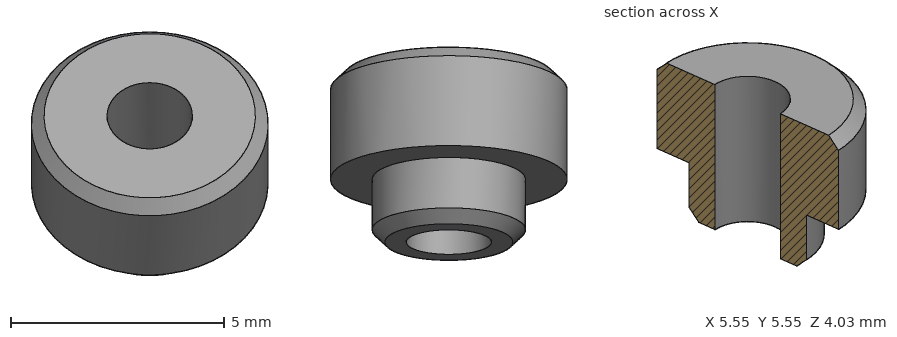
import cadquery as cq

head_diameter = 5.55
spigot_diameter = 3.595
bore_diameter = 2.0
total_height = 4.03
head_height = 2.5
chamfer = 0.3

spigot_height = total_height - head_height

spigot = cq.Workplane("XY").circle(spigot_diameter / 2).extrude(spigot_height)
spigot = spigot.faces("<Z").edges().chamfer(chamfer)

head = cq.Workplane("XY").workplane(offset=spigot_height).circle(head_diameter / 2).extrude(head_height)
head = head.faces(">Z").edges().chamfer(chamfer)

bore = cq.Workplane("XY").circle(bore_diameter / 2).extrude(total_height)

result = spigot.union(head).cut(bore)